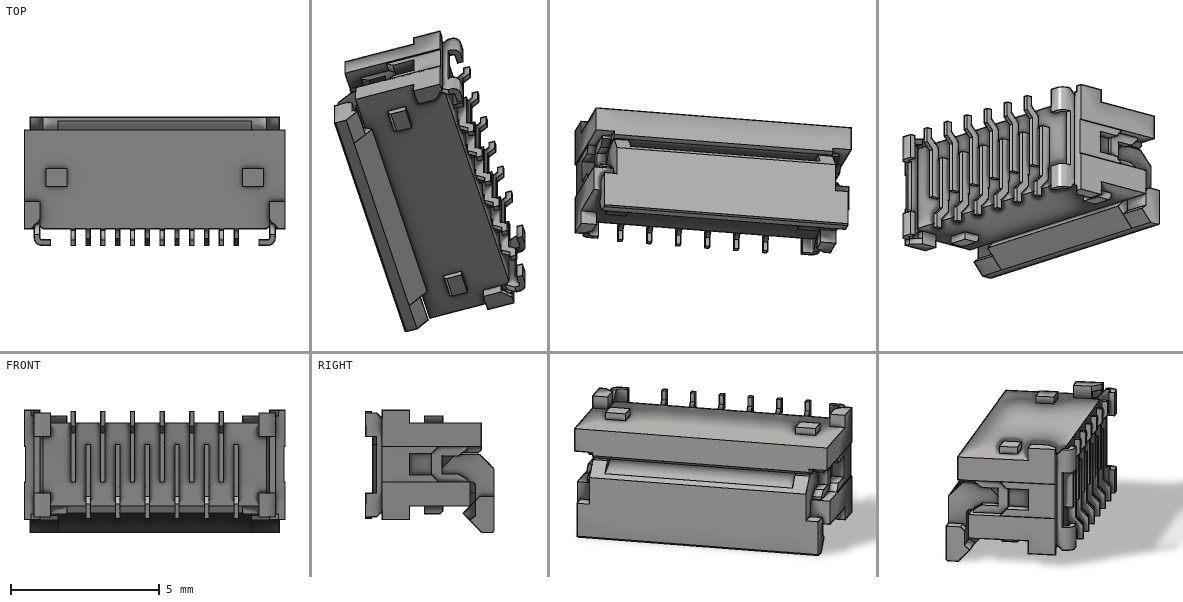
import cadquery as cq


LENGTH = 8.8
HALF_LENGTH = LENGTH / 2
ROOF_TOP = 1.415
FLOOR_BOTTOM = -1.395
ROOF_FRONT = 3.345
FLOOR_FRONT = 2.965
LIP_STEP = -0.945
LIP_UPPER_HALF_LENGTH = 3.5
LIP_LOWER_HALF_LENGTH = 3.2
EDGE_CHAMFER = 0.1

RECESS_TOP = 0.62
RECESS_BOTTOM = -0.575
SIDE_STEP = 0.04
WALL_OUTER_X = 4.08
WALL_INNER_X = 3.77
WALL_FRONT = 2.865
RECESS_REAR = 1.67
RECESS_CORNER = 0.225
WINDOW_FRONT = RECESS_REAR
WINDOW_REAR = 0.925
WINDOW_FLOOR_X = 3.94
WINDOW_TOP = 0.385
WINDOW_BOTTOM = -0.335

SLOT_REAR = 2.01
SLOT_TOP = 0.305
SLOT_BOTTOM = -0.31
SLOT_THROAT = 2.585
SLOT_MOUTH_TOP = 0.52
SLOT_MOUTH_BOTTOM = -0.49
CAVITY_REAR = 2.03
CAVITY_TOP = 0.405

EAR_INNER_X = 3.87
EAR_DEPTH = 0.925
EAR_HALF_HEIGHT = 1.845
EAR_CHAMFER = 0.305
TAB_SLOT_HALF_HEIGHT = 1.65
TAB_SLOT_DEPTH = EAR_CHAMFER

BOSS_X = 3.31
BOSS_LENGTH = 0.7
BOSS_REAR = 1.425
BOSS_FRONT = 2.045
BOSS_HALF_HEIGHT = 1.655

LEVER_FRONT = 3.775
LEVER_BACK = 3.15
LEVER_TOP = 0.355
LEVER_BOTTOM = -2.285
LEVER_HALF_LENGTH = 4.2
LEVER_SLOPE = 0.49
LEVER_BOTTOM_BEVEL = 0.05
LEVER_FOOT_BACK = 3.355
HOOK_HALF_LENGTH = 3.265
HOOK_TIP_Y = 2.725
HOOK_TIP_Z = -1.63
HOOK_NOTCH_Y = 2.96
HOOK_NOTCH_Z = -1.865
NOTCH_CORNER_Z = -1.715
END_BLOCK_TOP = -1.075
ARM_CHAMFER = 0.45
ARM_CORNER = 0.09
RAMP_FRONT = 3.64
RAMP_REAR = 2.75

PIN_COUNT = 12
PIN_PITCH = 0.5
PIN_WIDTH = 0.15
TAIL_Y = -0.565
FOOT_THICKNESS = 0.2
FOOT_INNER_Y = TAIL_Y + FOOT_THICKNESS
BAR_Y = -0.32
BAR_GAP = 0.05
BAR_KNEE = 1.07
FOOT_KNEE_Z = 1.485
FOOT_END = 1.805
UPPER_BAR_END = -0.575
LOWER_BAR_END = 0.68
PIN_RELIEF = 0.76

TAB_OUTER_X = 4.065
TAB_THICKNESS = TAB_OUTER_X - EAR_INNER_X
TAB_TAIL_Y = -0.555
TAB_HALF_HEIGHT = 1.755
TAB_NECK_HALF_HEIGHT = 0.95
TAB_NECK_Y = -0.185
TAB_ROOT_Y = 0.16
TAB_FLANGE_END_X = 3.515
TAB_BEND_RADIUS = 0.255


def box(x0, x1, y0, y1, z0, z1):
    """Box between opposite corners."""
    return cq.Workplane("XY").box(x1 - x0, y1 - y0, z1 - z0, centered=False).translate((x0, y0, z0))


def prism_x(points, x0, x1):
    """Closed (Y, Z) outline extruded from x0 to x1."""
    return cq.Workplane("YZ").workplane(offset=x0).polyline(points).close().extrude(x1 - x0)


def prism_z(points, z0, z1):
    """Closed (X, Y) outline extruded from z0 to z1."""
    return cq.Workplane("XY").workplane(offset=z0).polyline(points).close().extrude(z1 - z0)


def both_ends(shape):
    """The +X shape together with its mirror image at -X."""
    return shape.union(shape.mirror("YZ"))


def make_end_cut():
    """Material removed from the +X end of the housing between its two side beams."""
    step = box(HALF_LENGTH - SIDE_STEP, HALF_LENGTH, 0, ROOF_FRONT, RECESS_BOTTOM, RECESS_TOP)
    recess = prism_x(
        [
            (ROOF_FRONT, RECESS_BOTTOM),
            (ROOF_FRONT, RECESS_TOP),
            (RECESS_REAR + RECESS_CORNER, RECESS_TOP),
            (RECESS_REAR, WINDOW_TOP),
            (RECESS_REAR, WINDOW_BOTTOM),
            (RECESS_REAR + RECESS_CORNER, RECESS_BOTTOM),
        ],
        WALL_OUTER_X,
        HALF_LENGTH,
    )
    window = box(WINDOW_FLOOR_X, HALF_LENGTH, WINDOW_REAR, WINDOW_FRONT, WINDOW_BOTTOM, WINDOW_TOP)
    arm_slot = prism_x(
        [
            (ROOF_FRONT, RECESS_BOTTOM),
            (ROOF_FRONT, RECESS_TOP),
            (WALL_FRONT, RECESS_TOP),
            (WALL_FRONT, SLOT_MOUTH_TOP),
            (SLOT_THROAT, SLOT_TOP),
            (SLOT_REAR, SLOT_TOP),
            (SLOT_REAR, SLOT_BOTTOM),
            (SLOT_THROAT, SLOT_BOTTOM),
            (WALL_FRONT, SLOT_MOUTH_BOTTOM),
            (WALL_FRONT, RECESS_BOTTOM),
        ],
        WALL_INNER_X,
        WALL_OUTER_X,
    )
    return step.union(recess).union(window).union(arm_slot)


def make_ear():
    """Tall block at the +X tail corner, with a bevelled inner corner and a tab slot."""
    ear = box(EAR_INNER_X, HALF_LENGTH, 0, EAR_DEPTH, -EAR_HALF_HEIGHT, EAR_HALF_HEIGHT)
    bevel = [(EAR_INNER_X, 0), (EAR_INNER_X + EAR_CHAMFER, 0), (EAR_INNER_X, EAR_CHAMFER)]
    ear = ear.cut(prism_z(bevel, TAB_SLOT_HALF_HEIGHT, EAR_HALF_HEIGHT))
    return ear.cut(prism_z(bevel, -EAR_HALF_HEIGHT, -TAB_SLOT_HALF_HEIGHT))


def make_tab_slot():
    """Slot in the +X ear for the solder tab, with the bevelled housing corner beside it."""
    slot = box(
        EAR_INNER_X, WALL_OUTER_X, 0, TAB_SLOT_DEPTH, -TAB_SLOT_HALF_HEIGHT, TAB_SLOT_HALF_HEIGHT
    )
    corner = [
        (EAR_INNER_X, 0),
        (EAR_INNER_X - EDGE_CHAMFER, 0),
        (EAR_INNER_X, EDGE_CHAMFER),
    ]
    return slot.union(prism_z(corner, FLOOR_BOTTOM, ROOF_TOP))


def make_boss():
    """Locating boss pair at the +X end: one on the roof, one bevelled under the floor."""
    outline = [
        (BOSS_REAR, BOSS_HALF_HEIGHT),
        (BOSS_REAR, -BOSS_HALF_HEIGHT),
        (BOSS_FRONT - EDGE_CHAMFER, -BOSS_HALF_HEIGHT),
        (BOSS_FRONT, -BOSS_HALF_HEIGHT + EDGE_CHAMFER),
        (BOSS_FRONT, BOSS_HALF_HEIGHT),
    ]
    boss = prism_x(outline, BOSS_X - BOSS_LENGTH / 2, BOSS_X + BOSS_LENGTH / 2)
    inside = box(0, HALF_LENGTH, 0, ROOF_FRONT, RECESS_BOTTOM, CAVITY_TOP)
    return boss.cut(inside)


def make_floor_lip():
    """Stepped lip that carries the front of the floor up to the back of the lever."""
    upper = box(
        -LIP_UPPER_HALF_LENGTH, LIP_UPPER_HALF_LENGTH, 0, LEVER_BACK, LIP_STEP, RECESS_BOTTOM
    )
    lower = box(
        -LIP_LOWER_HALF_LENGTH, LIP_LOWER_HALF_LENGTH, 0, LEVER_BACK, FLOOR_BOTTOM, LIP_STEP
    )
    return upper.union(lower)


def make_housing():
    """Roof and floor joined at the tail, open at the front for the lever."""
    roof = box(-HALF_LENGTH, HALF_LENGTH, 0, ROOF_FRONT, CAVITY_TOP, ROOF_TOP)
    roof = roof.faces(">Y").edges("<Z").chamfer(EDGE_CHAMFER)
    block = box(-HALF_LENGTH, HALF_LENGTH, 0, FLOOR_FRONT, FLOOR_BOTTOM, CAVITY_TOP)
    cavity = box(-WALL_INNER_X, WALL_INNER_X, CAVITY_REAR, ROOF_FRONT, RECESS_BOTTOM, CAVITY_TOP)
    housing = block.cut(cavity).union(roof).union(make_floor_lip())
    housing = housing.union(both_ends(make_ear()))
    housing = housing.cut(both_ends(make_end_cut()))
    housing = housing.cut(both_ends(make_tab_slot()))
    return housing.union(both_ends(make_boss()))


def make_lever():
    """Flip lever: L-shaped bar with end arms, a central hook and low end blocks."""
    bevel_bottom = LEVER_TOP - LEVER_SLOPE
    bottom = [
        (LEVER_FRONT, LEVER_BOTTOM + LEVER_BOTTOM_BEVEL),
        (LEVER_FRONT - LEVER_BOTTOM_BEVEL, LEVER_BOTTOM),
        (LEVER_FOOT_BACK, LEVER_BOTTOM),
    ]
    hook_root_z = HOOK_TIP_Z + LEVER_BACK - HOOK_TIP_Y
    hook = [(HOOK_TIP_Y, HOOK_TIP_Z), (LEVER_BACK, hook_root_z)]
    notch = [(HOOK_NOTCH_Y, HOOK_NOTCH_Z), (LEVER_BACK, NOTCH_CORNER_Z)]
    underside = [
        (LEVER_BACK, RECESS_BOTTOM - ARM_CORNER),
        (LEVER_BACK - ARM_CORNER, RECESS_BOTTOM),
        (CAVITY_REAR, RECESS_BOTTOM),
    ]
    arm_top = [
        (CAVITY_REAR, LEVER_TOP - ARM_CHAMFER),
        (CAVITY_REAR + ARM_CHAMFER, LEVER_TOP),
        (LEVER_FRONT - LEVER_SLOPE, LEVER_TOP),
        (LEVER_FRONT, bevel_bottom),
    ]
    ramp_top = [
        (CAVITY_REAR, LEVER_TOP),
        (RAMP_REAR, LEVER_TOP),
        (RAMP_FRONT, bevel_bottom + LEVER_FRONT - RAMP_FRONT),
        (LEVER_FRONT, bevel_bottom),
    ]
    block_top = [
        (LEVER_BACK, hook_root_z),
        (LEVER_BACK + END_BLOCK_TOP - hook_root_z, END_BLOCK_TOP),
        (LEVER_FRONT, END_BLOCK_TOP),
    ]
    center = prism_x(bottom + hook + underside + ramp_top, -HOOK_HALF_LENGTH, HOOK_HALF_LENGTH)
    arm = prism_x(bottom + notch + underside + arm_top, HOOK_HALF_LENGTH, WALL_INNER_X)
    end_block = prism_x(bottom + notch + block_top, WALL_INNER_X, LEVER_HALF_LENGTH)
    return center.union(both_ends(arm.union(end_block)))


def make_pin(x, bar_end, side):
    """Solder pin at x; side = 1 puts the foot at the top, side = -1 at the bottom."""
    foot_knee = BAR_KNEE + BAR_Y - TAIL_Y
    inner_knee = FOOT_KNEE_Z + FOOT_INNER_Y + BAR_GAP
    outline = [
        (0, bar_end),
        (BAR_Y, bar_end),
        (BAR_Y, side * BAR_KNEE),
        (TAIL_Y, side * foot_knee),
        (TAIL_Y, side * FOOT_END),
        (FOOT_INNER_Y, side * FOOT_END),
        (FOOT_INNER_Y, side * FOOT_KNEE_Z),
        (-BAR_GAP, side * inner_knee),
        (-BAR_GAP, side * PIN_RELIEF),
        (0, side * PIN_RELIEF),
    ]
    return prism_x(outline, x - PIN_WIDTH / 2, x + PIN_WIDTH / 2)


def make_solder_tab():
    """Bent sheet tab at the +X end: a plate in the ear slot with two inward flanges."""
    flange_inner_y = TAB_TAIL_Y + TAB_THICKNESS
    angle = (
        cq.Workplane("XY")
        .workplane(offset=-TAB_HALF_HEIGHT)
        .moveTo(TAB_OUTER_X, TAB_SLOT_DEPTH)
        .lineTo(TAB_OUTER_X, TAB_TAIL_Y + TAB_BEND_RADIUS)
        .radiusArc((TAB_OUTER_X - TAB_BEND_RADIUS, TAB_TAIL_Y), TAB_BEND_RADIUS)
        .lineTo(TAB_FLANGE_END_X, TAB_TAIL_Y)
        .lineTo(TAB_FLANGE_END_X, flange_inner_y)
        .lineTo(EAR_INNER_X - TAB_BEND_RADIUS + TAB_THICKNESS, flange_inner_y)
        .radiusArc(
            (EAR_INNER_X, flange_inner_y + TAB_BEND_RADIUS - TAB_THICKNESS),
            TAB_THICKNESS - TAB_BEND_RADIUS,
        )
        .lineTo(EAR_INNER_X, TAB_SLOT_DEPTH)
        .close()
        .extrude(2 * TAB_HALF_HEIGHT)
    )
    root_half_height = TAB_HALF_HEIGHT - (TAB_ROOT_Y - TAB_NECK_Y)
    side_outline = [
        (TAB_SLOT_DEPTH, root_half_height),
        (TAB_ROOT_Y, root_half_height),
        (TAB_NECK_Y, TAB_HALF_HEIGHT),
        (TAB_TAIL_Y, TAB_HALF_HEIGHT),
        (TAB_TAIL_Y, TAB_NECK_HALF_HEIGHT),
        (TAB_NECK_Y, TAB_NECK_HALF_HEIGHT),
        (TAB_NECK_Y, -TAB_NECK_HALF_HEIGHT),
        (TAB_TAIL_Y, -TAB_NECK_HALF_HEIGHT),
        (TAB_TAIL_Y, -TAB_HALF_HEIGHT),
        (TAB_NECK_Y, -TAB_HALF_HEIGHT),
        (TAB_ROOT_Y, -root_half_height),
        (TAB_SLOT_DEPTH, -root_half_height),
    ]
    return angle.intersect(prism_x(side_outline, 0, HALF_LENGTH))


result = make_housing().union(make_lever())
for index in range(PIN_COUNT):
    pin_x = (index - (PIN_COUNT - 1) / 2) * PIN_PITCH
    if index % 2 == 0:
        result = result.union(make_pin(pin_x, UPPER_BAR_END, 1))
    else:
        result = result.union(make_pin(pin_x, LOWER_BAR_END, -1))
result = result.union(both_ends(make_solder_tab()))